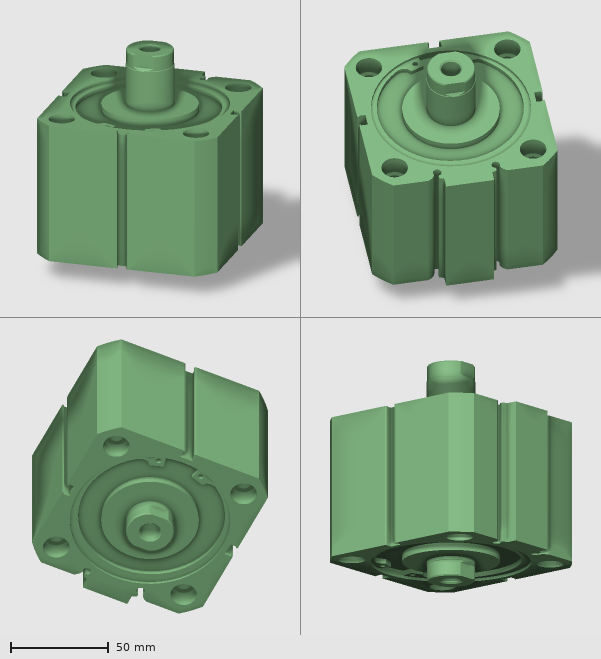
import cadquery as cq
import math


BODY_WIDTH = 96.5
BODY_HEIGHT = 73.4
CORNER_RADIUS = 62.0
BORE_RADIUS = 41.0
HALF_WIDTH = BODY_WIDTH / 2
HALF_HEIGHT = BODY_HEIGHT / 2

PORT_BLOCK_WIDTH = 25.0
OVERALL_DEPTH = 102.0
PORT_BLOCK_TOP = OVERALL_DEPTH - HALF_WIDTH

KEYHOLE_X = 15.2
KEYHOLE_Y = 43.4
KEYHOLE_RADIUS = 2.2
KEYHOLE_OUTER_ANGLE = 35.0
KEYHOLE_INNER_ANGLE = 125.0
GROOVE_MOUTH_X = 20.7
GROOVE_FLANK_MID = (18.4, 46.8)
GROOVE_NOSE_X = 15.0
GROOVE_NOSE_BOTTOM = 46.2
GROOVE_NOSE_FOOT = (14.6, 45.2)
GROOVE_NOSE_TOP = 47.3

SLOT_WIDTH = 6.8
SLOT_THROAT_WIDTH = 5.2
SLOT_DEPTH = 4.4
SLOT_LIP = 0.9
SLOT_MOUTH_WIDTH = 6.8
SLOT_BEVEL_DEPTH = 0.2

MOUNT_SPACING = 72.0
MOUNT_HOLE_DIAMETER = 8.9
COUNTERBORE_DIAMETER = 13.5
COUNTERBORE_DEPTH = 10.2

ROD_RADIUS = 12.5
ROD_TOP_EXTENSION = 30.0
ROD_BOTTOM_EXTENSION = 10.1
TIP_RADIUS = 12.3
TIP_LENGTH = 8.5
TIP_CHAMFER_WIDTH = 0.5
TIP_CHAMFER_LENGTH = 0.7
FLAT_SPACING = 22.0
FLAT_LENGTH = 7.0
ROD_HOLE_RADIUS = 5.1
ROD_HOLE_MOUTH_RADIUS = 5.9
ROD_HOLE_DEPTH = 20.0
DRILL_POINT_ANGLE = 118.0

COVER_RECESS = 4.0
COVER_THICKNESS = 13.6
COVER_BOSS_RADIUS = 25.0

RING_RECESS = 1.5
RING_THICKNESS = COVER_RECESS - RING_RECESS
RING_INNER_RADIUS = 37.6
RING_INNER_OFFSET = 1.9
LUG_GAP_ANGLE = 13.5
LUG_BACK_ANGLE = 25.4
LUG_INNER_RADIUS = 34.4
LUG_BACK_FOOT = (16.6, -32.8)
LUG_ROUND_MID = (19.3, -33.3)
LUG_ROUND_END_X = 22.2
LUG_HOLE_RADIUS = 1.5
LUG_HOLE_ANGLE = 18.5
LUG_HOLE_DISTANCE = 37.6


def polar(radius, degrees):
    angle = math.radians(degrees)
    return (radius * math.cos(angle), radius * math.sin(angle))


def from_minus_y(radius, degrees):
    """Point at an angle from the -Y direction, turned toward +X."""
    return polar(radius, degrees - 90)


def keyhole_groove():
    """Groove on the +X side of the port block, over the whole housing height."""

    def on_round(degrees):
        x, y = polar(KEYHOLE_RADIUS, degrees)
        return (KEYHOLE_X + x, KEYHOLE_Y + y)

    return (
        cq.Workplane("XY")
        .moveTo(GROOVE_MOUTH_X, HALF_WIDTH)
        .threePointArc(GROOVE_FLANK_MID, on_round(KEYHOLE_OUTER_ANGLE))
        .threePointArc(on_round(-90), on_round(KEYHOLE_INNER_ANGLE))
        .lineTo(*GROOVE_NOSE_FOOT)
        .lineTo(GROOVE_NOSE_X, GROOVE_NOSE_BOTTOM)
        .lineTo(GROOVE_NOSE_X, GROOVE_NOSE_TOP)
        .lineTo(PORT_BLOCK_WIDTH / 2, HALF_WIDTH)
        .close()
        .extrude(HALF_HEIGHT, both=True)
    )


def sensor_slot():
    """Undercut slot in the +X side, with a shallow bevel along each edge of its mouth."""
    slot_floor = HALF_WIDTH - SLOT_DEPTH
    lip_back = HALF_WIDTH - SLOT_LIP
    bevel_foot = HALF_WIDTH - SLOT_BEVEL_DEPTH
    upper_half = [
        (slot_floor, SLOT_WIDTH / 2),
        (lip_back, SLOT_WIDTH / 2),
        (lip_back, SLOT_THROAT_WIDTH / 2),
        (bevel_foot, SLOT_THROAT_WIDTH / 2),
        (HALF_WIDTH, SLOT_MOUTH_WIDTH / 2),
    ]
    lower_half = [(x, -y) for x, y in reversed(upper_half)]
    return cq.Workplane("XY").polyline(upper_half + lower_half).close().extrude(HALF_HEIGHT, both=True)


def make_housing():
    corner_cylinder = cq.Workplane("XY").circle(CORNER_RADIUS).extrude(HALF_HEIGHT, both=True)
    housing = cq.Workplane("XY").box(BODY_WIDTH, BODY_WIDTH, BODY_HEIGHT).intersect(corner_cylinder)

    port_block = (
        cq.Workplane("XY")
        .box(PORT_BLOCK_WIDTH, PORT_BLOCK_TOP, BODY_HEIGHT)
        .translate((0, PORT_BLOCK_TOP / 2, 0))
    )
    housing = housing.union(port_block)

    groove = keyhole_groove()
    housing = housing.cut(groove).cut(groove.mirror("YZ"))

    for angle in (0, 180, -90):
        housing = housing.cut(sensor_slot().rotate((0, 0, 0), (0, 0, 1), angle))

    for face in (">Z", "<Z"):
        housing = (
            housing.faces(face)
            .workplane(origin=(0, 0, 0))
            .rect(MOUNT_SPACING, MOUNT_SPACING, forConstruction=True)
            .vertices()
            .cboreHole(MOUNT_HOLE_DIAMETER, COUNTERBORE_DIAMETER, COUNTERBORE_DEPTH)
        )

    bore = cq.Workplane("XY").circle(BORE_RADIUS).extrude(HALF_HEIGHT, both=True)
    return housing.cut(bore)


def wrench_flat_cutter(end):
    """Cutter for the +Y flat of a rod tip ending at Z = end; its lower face slopes out at 45 degrees."""
    flat_y = FLAT_SPACING / 2
    flat_bottom = end - FLAT_LENGTH
    reach = ROD_RADIUS - flat_y
    return (
        cq.Workplane("YZ")
        .polyline(
            [
                (flat_y, end),
                (flat_y, flat_bottom),
                (flat_y + reach, flat_bottom - reach),
                (flat_y + reach, end),
            ]
        )
        .close()
        .extrude(ROD_RADIUS, both=True)
    )


def tip_hole(end):
    """Blind drilled hole with a chamfered mouth, opening at Z = end."""
    mouth_depth = ROD_HOLE_MOUTH_RADIUS - ROD_HOLE_RADIUS
    point_depth = ROD_HOLE_RADIUS / math.tan(math.radians(DRILL_POINT_ANGLE / 2))
    hole_bottom = end - ROD_HOLE_DEPTH
    return (
        cq.Workplane("XZ")
        .polyline(
            [
                (0, end),
                (ROD_HOLE_MOUTH_RADIUS, end),
                (ROD_HOLE_RADIUS, end - mouth_depth),
                (ROD_HOLE_RADIUS, hole_bottom),
                (0, hole_bottom - point_depth),
            ]
        )
        .close()
        .revolve(360, (0, 0, 0), (0, 1, 0))
    )


def half_rod(extension):
    """Upper half of the rod, reaching the given distance past the housing."""
    end = HALF_HEIGHT + extension
    shoulder = end - TIP_LENGTH
    half = (
        cq.Workplane("XZ")
        .polyline(
            [
                (0, 0),
                (ROD_RADIUS, 0),
                (ROD_RADIUS, shoulder),
                (TIP_RADIUS, shoulder + ROD_RADIUS - TIP_RADIUS),
                (TIP_RADIUS, end - TIP_CHAMFER_LENGTH),
                (TIP_RADIUS - TIP_CHAMFER_WIDTH, end),
                (0, end),
            ]
        )
        .close()
        .revolve(360, (0, 0, 0), (0, 1, 0))
    )
    flat = wrench_flat_cutter(end)
    return half.cut(flat).cut(flat.mirror("XZ")).cut(tip_hole(end))


def make_rod():
    return half_rod(ROD_TOP_EXTENSION).union(half_rod(ROD_BOTTOM_EXTENSION).mirror("XY"))


def make_cover():
    """Upper end cover: a disc in the bore with a raised boss level with the housing end."""
    face_height = HALF_HEIGHT - COVER_RECESS
    disc = cq.Workplane("XY").workplane(offset=face_height).circle(BORE_RADIUS).extrude(-COVER_THICKNESS)
    boss = cq.Workplane("XY").workplane(offset=face_height).circle(COVER_BOSS_RADIUS).extrude(COVER_RECESS)
    rod_hole = cq.Workplane("XY").circle(ROD_RADIUS).extrude(HALF_HEIGHT)
    return disc.union(boss).cut(rod_hole)


def make_ring():
    """Upper retaining ring: eccentric inner edge, open at -Y, with a drilled lug at each end."""
    gap_outer = from_minus_y(BORE_RADIUS, LUG_GAP_ANGLE)
    gap_inner = from_minus_y(LUG_INNER_RADIUS, LUG_GAP_ANGLE)
    lug_back = from_minus_y(LUG_INNER_RADIUS, LUG_BACK_ANGLE)
    round_drop = math.sqrt(RING_INNER_RADIUS**2 - LUG_ROUND_END_X**2)
    round_end = (LUG_ROUND_END_X, -RING_INNER_OFFSET - round_drop)

    def mirrored(point):
        return (-point[0], point[1])

    ring = (
        cq.Workplane("XY")
        .workplane(offset=HALF_HEIGHT - COVER_RECESS)
        .moveTo(*gap_outer)
        .lineTo(*gap_inner)
        .lineTo(*lug_back)
        .lineTo(*LUG_BACK_FOOT)
        .threePointArc(LUG_ROUND_MID, round_end)
        .threePointArc((0, RING_INNER_RADIUS - RING_INNER_OFFSET), mirrored(round_end))
        .threePointArc(mirrored(LUG_ROUND_MID), mirrored(LUG_BACK_FOOT))
        .lineTo(*mirrored(lug_back))
        .lineTo(*mirrored(gap_inner))
        .lineTo(*mirrored(gap_outer))
        .threePointArc((0, BORE_RADIUS), gap_outer)
        .close()
        .extrude(RING_THICKNESS)
    )
    lug_hole = from_minus_y(LUG_HOLE_DISTANCE, LUG_HOLE_ANGLE)
    lug_holes = (
        cq.Workplane("XY")
        .pushPoints([lug_hole, mirrored(lug_hole)])
        .circle(LUG_HOLE_RADIUS)
        .extrude(HALF_HEIGHT)
    )
    return ring.cut(lug_holes)


housing = make_housing()
rod = make_rod()

end_parts = []
for make_end_part in (make_cover, make_ring):
    upper = make_end_part()
    end_parts += [upper.val(), upper.mirror("XY").val()]

result = cq.Compound.makeCompound([housing.val(), rod.val(), *end_parts])